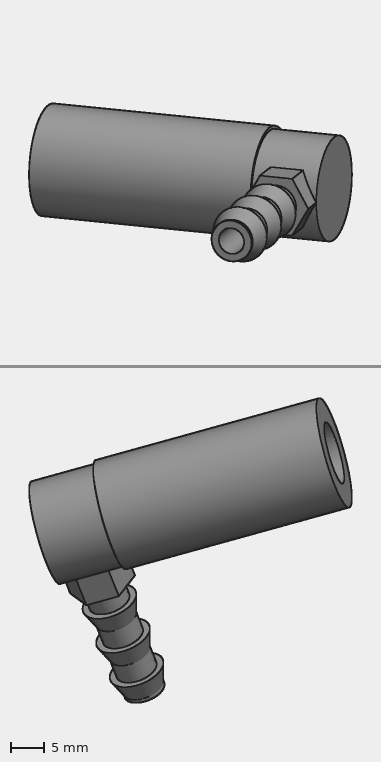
import cadquery as cq
import math

total_length = 45.5
head_length = 10.3
sleeve_length = total_length - head_length
sleeve_diameter = 17.0
head_diameter = 16.0
socket_diameter = 9.55
passage_diameter = 4.0

outlet_x = sleeve_length + head_length / 2
hex_across_flats = 8.85
hex_across_corners = hex_across_flats / math.cos(math.radians(30))
hex_end = 11.5
stem_diameter = 6.35
stem_radius = stem_diameter / 2
barb_diameter = 8.5
barb_radius = barb_diameter / 2
barb_count = 3
barb_length = 3.25
barb_pitch = 2 * barb_length
outlet_end = 31.5


def cylinder_along_x(start, length, diameter):
    """Cylinder on the body axis, beginning at X = `start`."""
    return cq.Workplane("YZ").workplane(offset=start).circle(diameter / 2).extrude(length)


def cylinder_along_outlet(start, length, diameter):
    """Cylinder on the outlet axis, beginning at a distance `start` from the body axis and running to -Y."""
    plane = cq.Workplane("XZ", origin=(outlet_x, -start, 0))
    return plane.circle(diameter / 2).extrude(length)


def make_body():
    sleeve = cylinder_along_x(0, sleeve_length, sleeve_diameter)
    head = cylinder_along_x(sleeve_length, head_length, head_diameter)
    return sleeve.union(head)


def make_hexagon():
    """Hexagon with flats facing +Z and -Z."""
    return cq.Workplane("XZ", origin=(outlet_x, 0, 0)).polygon(6, hex_across_corners).extrude(hex_end)


def make_barbed_stem():
    """Revolve the stem profile, in (radius, y) from the outlet axis."""
    profile = cq.Workplane("XY", origin=(outlet_x, 0, 0)).lineTo(stem_radius, 0)
    for index in range(barb_count):
        barb_start = hex_end + barb_length + index * barb_pitch
        profile = profile.lineTo(stem_radius, -barb_start)
        profile = profile.lineTo(barb_radius, -barb_start)
        profile = profile.lineTo(stem_radius, -(barb_start + barb_length))
    profile = profile.lineTo(stem_radius, -outlet_end).lineTo(0, -outlet_end).close()
    return profile.revolve(360, (0, 0, 0), (0, 1, 0))


def make_bores():
    """Socket through the sleeve, then a passage that turns 90 degrees in the head with a mitred corner."""
    socket = cylinder_along_x(0, sleeve_length, socket_diameter)
    inlet = cylinder_along_x(sleeve_length, outlet_x - sleeve_length, passage_diameter)
    outlet = cylinder_along_outlet(0, outlet_end, passage_diameter)
    corner_x = cylinder_along_x(outlet_x - passage_diameter, 2 * passage_diameter, passage_diameter)
    corner_y = cylinder_along_outlet(-passage_diameter, 2 * passage_diameter, passage_diameter)
    corner = corner_x.intersect(corner_y)
    return socket.union(inlet).union(outlet).union(corner)


result = make_body().union(make_hexagon()).union(make_barbed_stem()).cut(make_bores())